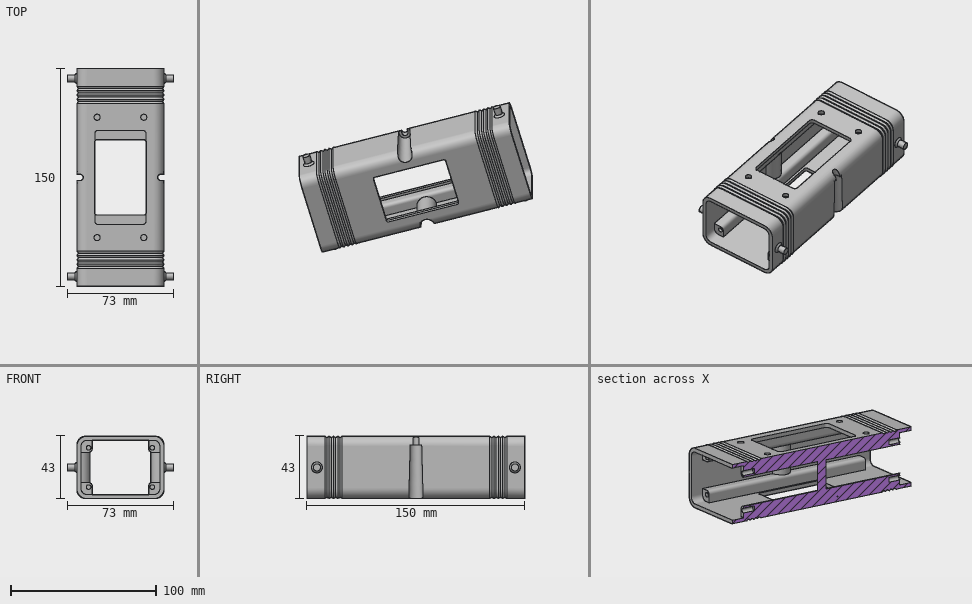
import cadquery as cq

length = 150.0
width = 60.0
height = 43.0
corner_radius = 7.0
wall = 2.8
cavity_width = width - 2 * wall
cavity_height = height - 2 * wall
cavity_radius = corner_radius - wall

band_start = 12.3
groove_count = 4
groove_pitch = 3.0
groove_depth = 0.98
band_radius = 6.2

rail_length = 131.4
rail_inner_x = 19.4
rail_inner_z = 10.4
rail_edge_radius = 2.5
rail_hole_x = 21.9
rail_hole_z = 13.5
rail_hole_diameter = 3.2
rail_hole_depth = 9.0

screw_axis_x = 27.8
column_diameter = 14.0
screw_slot_diameter = 4.2
head_seat_z = 15.3
head_top_diameter = 8.0
head_bottom_diameter = 9.9

window_width = 35.2
top_window_length = 64.8
top_window_radius = 2.4
bottom_window_length = 51.6
bottom_window_radius = 1.4
top_hole_x = 16.0
top_hole_y = 41.4
top_hole_diameter = 4.2

peg_span = 73.0
peg_y = 68.1
peg_diameter = 5.0
peg_collar_length = 1.4
peg_collar_diameter = 7.5

signs = (-1, 1)
half_height = height / 2


def rounded_bar(bar_width, bar_height, radius, bar_length):
    """Solid bar along Y with rounded long edges."""
    bar = cq.Workplane("XY").box(bar_width, bar_length, bar_height)
    return bar.edges("|Y").fillet(radius)


def rounded_section(y, inset):
    """Closed outline of a grip band at a given Y, inset from the flat outer faces."""
    sketch = cq.Sketch().rect(width - 2 * inset, height - 2 * inset)
    sketch = sketch.vertices().fillet(band_radius - inset)
    plane = cq.Workplane("XZ", origin=(0, y, 0))
    return plane.placeSketch(sketch).extrude(groove_depth).faces(">Y").wires().val()


def grip_band(side):
    """Stretch of the outer bar whose surface carries a row of V-grooves."""
    outer_y = length / 2 - band_start
    band = cq.Workplane("XY")
    for index in range(groove_count):
        peak_y = outer_y - index * groove_pitch
        valley_y = peak_y - groove_pitch / 2
        next_peak_y = peak_y - groove_pitch
        sections = [
            rounded_section(side * peak_y, 0),
            rounded_section(side * valley_y, groove_depth),
            rounded_section(side * next_peak_y, 0),
        ]
        band = band.union(cq.Workplane(obj=cq.Solid.makeLoft(sections, True)))
    return band


def outer_bar():
    """Full outer shape of the tube, with a grip band near both ends."""
    bar = rounded_bar(width, height, corner_radius, length)
    band_length = groove_count * groove_pitch
    band_middle = length / 2 - band_start - band_length / 2
    clearance = 3.0
    for side in signs:
        gap = cq.Workplane("XY").box(width + clearance, band_length, height + clearance)
        bar = bar.cut(gap.translate((0, side * band_middle, 0)))
    for side in signs:
        bar = bar.union(grip_band(side))
    return bar


def rail(side_x, side_z):
    """Rail filling one corner of the cavity, rounded on its free edge."""
    size_x = width / 2 - wall / 2 - rail_inner_x
    size_z = half_height - wall / 2 - rail_inner_z
    block = (
        cq.Workplane("XY")
        .box(size_x, rail_length, size_z, centered=(False, True, False))
        .edges("|Y and <X and <Z")
        .fillet(rail_edge_radius)
        .translate((rail_inner_x, 0, rail_inner_z))
    )
    if side_x < 0:
        block = block.mirror("YZ")
    if side_z < 0:
        block = block.mirror("XY")
    return block


def rail_holes():
    """Blind holes in both end faces of every rail."""
    start = cq.Workplane("XZ").workplane(offset=rail_length / 2 - rail_hole_depth)
    holes = (
        start.rect(2 * rail_hole_x, 2 * rail_hole_z, forConstruction=True)
        .vertices()
        .circle(rail_hole_diameter / 2)
        .extrude(rail_hole_depth)
    )
    return holes.union(holes.mirror("XZ"))


def column(side):
    """Round column around one screw passage, from bottom face to top face."""
    return (
        cq.Workplane("XY", origin=(side * screw_axis_x, 0, -half_height))
        .circle(column_diameter / 2)
        .extrude(height)
    )


def screw_passage(side):
    """Narrow slot for the screw shank and the tapered space below it for its head."""
    axis_x = side * screw_axis_x
    outward = side * width / 2
    shank = (
        cq.Workplane("XY", origin=(axis_x, 0, -half_height))
        .circle(screw_slot_diameter / 2)
        .extrude(height)
    )
    shank_slot = (
        cq.Workplane("XY")
        .box(width / 2, screw_slot_diameter, height)
        .translate((axis_x + outward / 2, 0, 0))
    )
    seat_depth = head_seat_z + half_height
    head = (
        cq.Workplane("XY", origin=(axis_x, 0, -half_height))
        .circle(head_bottom_diameter / 2)
        .workplane(offset=seat_depth)
        .circle(head_top_diameter / 2)
        .loft()
    )
    head_slot = (
        cq.Workplane("YZ", origin=(axis_x, 0, 0))
        .moveTo(-head_bottom_diameter / 2, -half_height)
        .lineTo(head_bottom_diameter / 2, -half_height)
        .lineTo(head_top_diameter / 2, head_seat_z)
        .lineTo(-head_top_diameter / 2, head_seat_z)
        .close()
        .extrude(outward)
    )
    return shank.union(shank_slot).union(head).union(head_slot)


def window(window_length, radius, level):
    """Rounded rectangular opening through the wall at the given outer level."""
    return (
        cq.Workplane("XY")
        .box(window_width, window_length, 2 * wall)
        .edges("|Z")
        .fillet(radius)
        .translate((0, 0, level))
    )


def top_holes():
    """Four screw holes through the top wall."""
    return (
        cq.Workplane("XY", origin=(0, 0, half_height - 1.5 * wall))
        .rect(2 * top_hole_x, 2 * top_hole_y, forConstruction=True)
        .vertices()
        .circle(top_hole_diameter / 2)
        .extrude(2 * wall)
    )


def peg(side_x, side_y):
    """Locking peg with a conical collar, standing out of a side wall."""
    root_x = width / 2 - wall / 2
    collar_x = width / 2 + peg_collar_length
    profile = (
        cq.Workplane("XY")
        .moveTo(root_x, 0)
        .lineTo(root_x, peg_collar_diameter / 2)
        .lineTo(width / 2, peg_collar_diameter / 2)
        .lineTo(collar_x, peg_diameter / 2)
        .lineTo(peg_span / 2, peg_diameter / 2)
        .lineTo(peg_span / 2, 0)
        .close()
    )
    solid = profile.revolve(360, (0, 0, 0), (1, 0, 0)).translate((0, side_y * peg_y, 0))
    return solid if side_x > 0 else solid.mirror("YZ")


outer = outer_bar()
body = outer.cut(rounded_bar(cavity_width, cavity_height, cavity_radius, length))

for side_x in signs:
    body = body.union(column(side_x).intersect(outer))
    for side_z in signs:
        body = body.union(rail(side_x, side_z).intersect(outer))
    body = body.cut(screw_passage(side_x))

body = body.cut(window(top_window_length, top_window_radius, half_height))
body = body.cut(window(bottom_window_length, bottom_window_radius, -half_height))
body = body.cut(top_holes()).cut(rail_holes())

for side_x in signs:
    for side_y in signs:
        body = body.union(peg(side_x, side_y))

result = body